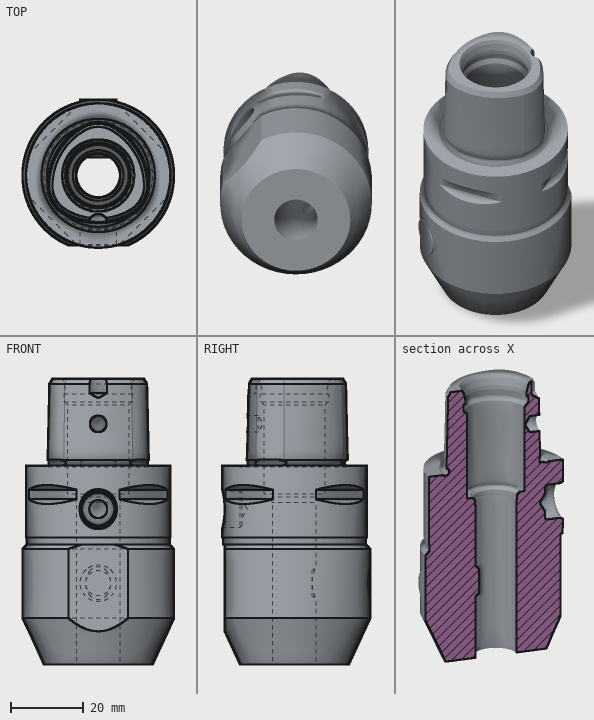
import cadquery as cq
import math


total_height = 79.0
nose_top = 12.9
flange_top = 31.9
flange_chamfer_top = 33.2
neck_top = 35.1
collar_top = 55.0
shank_base = 56.5
rim_chamfer_height = 1.5
rim_base = total_height - rim_chamfer_height

nose_end_radius = 15.0
flange_radius = 41.95 / 2
neck_radius = 39.6 / 2
collar_radius = 40.0 / 2
flat_distance = 19.3

lobe_center_distance = 5.8
lobe_radius = 9.0
side_radius = lobe_radius + lobe_center_distance * math.sqrt(3)
shank_inset = 0.5
rim_inset = 0.9
neck_inset = 0.2

groove_center_radius = 14.9
groove_center_height = 55.7
groove_radius = 1.0

drill_tip_angle = 118.0

notch_diameter = 5.0
notch_center_y = -13.1
notch_bottom = 75.05
dimple_diameter = 4.6
dimple_height = 66.5
dimple_floor_y = -10.0

slot_height = 47.0
slot_floor_width = 2.6
slot_floor_distance = 17.7
slot_flank_angle = 30.0

pocket_height = 43.0
pocket_diameter = 10.0
pocket_mouth_diameter = 11.05
pocket_mouth_depth = 0.95
pocket_floor_diameter = 9.0
pocket_floor_y = -14.5
pocket_corner = (pocket_diameter - pocket_floor_diameter) / 2
pocket_drill_diameter = 5.0

screw_diameter = 10.0
screw_height = 22.5
screw_tip_y = 4.9
screw_tip_diameter = 6.95
screw_tip_length = 1.6

tool_bore_diameter = 12.0
relief_bottom = 44.8
relief_diameter = 12.4
relief_top = 46.4
countersink_diameter = 14.0
socket_floor = 47.2
socket_diameter = 16.9
socket_top = 71.7
guide_diameter = 18.0
undercut_bottom = 72.5
undercut_diameter = 19.0
undercut_top = 74.7
guide_top = 76.0
entry_diameter = 19.0
entry_top = 78.05
mouth_diameter = 20.0


def lobed_outline(inset, height):
    """Closed three-lobed curve, moved inwards by the inset."""
    lobe = lobe_radius - inset
    side = side_radius - inset

    def center(angle):
        radians = math.radians(angle)
        return lobe_center_distance * math.cos(radians), lobe_center_distance * math.sin(radians)

    def point(origin, radius, angle):
        radians = math.radians(angle)
        return origin[0] + radius * math.cos(radians), origin[1] + radius * math.sin(radians)

    outline = cq.Workplane("XY", origin=(0, 0, height))
    outline = outline.moveTo(*point(center(90), lobe, 60))
    for lobe_angle in (90, 210, 330):
        here = center(lobe_angle)
        opposite = center(lobe_angle + 240)
        outline = outline.threePointArc(point(here, lobe, lobe_angle), point(here, lobe, lobe_angle + 30))
        outline = outline.threePointArc(
            point(opposite, side, lobe_angle + 60), point(opposite, side, lobe_angle + 90)
        )
    return outline.close()


def lobed_frustum(bottom_inset, bottom, top_inset, top):
    lower = lobed_outline(bottom_inset, bottom)
    upper = lobed_outline(top_inset, top)
    return cq.Workplane(cq.Solid.makeLoft([lower.val(), upper.val()], True))


def turned(profile):
    """Revolve (radius, height) points about the Z axis."""
    return cq.Workplane("XZ").polyline(profile).close().revolve(360, (0, 0), (0, 1))


def turned_along_y(profile, height):
    """Revolve (radius, Y) points about a line parallel to Y at the given height."""
    return (
        cq.Workplane("XY", origin=(0, 0, height))
        .polyline(profile)
        .close()
        .revolve(360, (0, 0), (0, 1))
    )


def make_body():
    body = turned([
        (0, 0),
        (nose_end_radius, 0),
        (flange_radius, nose_top),
        (flange_radius, flange_top),
        (neck_radius, flange_chamfer_top),
        (neck_radius, neck_top),
        (collar_radius, neck_top),
        (collar_radius, collar_top),
        (0, collar_top),
    ])
    beyond_flat = (
        cq.Workplane("XY")
        .box(2 * flange_radius, flange_radius, flange_chamfer_top, centered=(True, False, False))
        .translate((0, -flat_distance - flange_radius, 0))
    )
    return body.cut(beyond_flat)


def make_shank():
    foot = lobed_outline(neck_inset, collar_top).extrude(shank_base - collar_top)
    taper = lobed_frustum(0, shank_base, shank_inset, rim_base)
    rim = lobed_frustum(shank_inset, rim_base, shank_inset + rim_inset, total_height)
    return foot.union(taper).union(rim)


def foot_groove():
    return (
        cq.Workplane("XZ")
        .center(groove_center_radius, groove_center_height)
        .circle(groove_radius)
        .revolve(360, (-groove_center_radius, 0), (-groove_center_radius, 1))
    )


def drive_notch():
    radius = notch_diameter / 2
    tip_depth = radius / math.tan(math.radians(drill_tip_angle / 2))
    notch = turned([
        (0, notch_bottom - tip_depth),
        (radius, notch_bottom),
        (radius, total_height),
        (0, total_height),
    ])
    return notch.translate((0, notch_center_y, 0))


def dimple():
    radius = dimple_diameter / 2
    tip_depth = radius / math.tan(math.radians(drill_tip_angle / 2))
    return turned_along_y(
        [
            (0, dimple_floor_y + tip_depth),
            (radius, dimple_floor_y),
            (radius, -collar_radius),
            (0, -collar_radius),
        ],
        dimple_height,
    )


def gripper_slots():
    depth = collar_radius - slot_floor_distance
    floor_half = slot_floor_width / 2
    mouth_half = floor_half + depth * math.tan(math.radians(slot_flank_angle))
    slot = (
        cq.Workplane("XZ", origin=(0, collar_radius, slot_height))
        .polyline([
            (slot_floor_distance, -floor_half),
            (collar_radius, -mouth_half),
            (collar_radius, mouth_half),
            (slot_floor_distance, floor_half),
        ])
        .close()
        .extrude(2 * collar_radius)
    )
    slots = cq.Workplane("XY")
    for angle in (45, 135, 225, 315):
        slots = slots.add(slot.rotate((0, 0, 0), (0, 0, 1), angle))
    return slots.combine()


def collar_pocket():
    mouth_base_y = -collar_radius + pocket_mouth_depth
    drill_radius = pocket_drill_diameter / 2
    tip_depth = drill_radius / math.tan(math.radians(drill_tip_angle / 2))
    return turned_along_y(
        [
            (0, pocket_floor_y + tip_depth),
            (drill_radius, pocket_floor_y),
            (pocket_floor_diameter / 2, pocket_floor_y),
            (pocket_diameter / 2, pocket_floor_y - pocket_corner),
            (pocket_diameter / 2, mouth_base_y),
            (pocket_mouth_diameter / 2, -collar_radius),
            (0, -collar_radius),
        ],
        pocket_height,
    )


def central_bore():
    stepped_bore = turned([
        (0, 0),
        (tool_bore_diameter / 2, 0),
        (tool_bore_diameter / 2, relief_bottom),
        (relief_diameter / 2, relief_bottom),
        (relief_diameter / 2, relief_top),
        (countersink_diameter / 2, socket_floor),
        (socket_diameter / 2, socket_floor),
        (socket_diameter / 2, socket_top),
        (guide_diameter / 2, undercut_bottom),
        (guide_diameter / 2, guide_top),
        (entry_diameter / 2, entry_top),
        (mouth_diameter / 2, total_height),
        (0, total_height),
    ])
    return stepped_bore.union(bore_undercut())


def bore_undercut():
    """Ring widening the guide bore, with its lower outer corner rounded."""
    inner = guide_diameter / 2
    outer = undercut_diameter / 2
    round_radius = outer - inner
    round_center_height = undercut_bottom + round_radius
    half_way = round_radius * math.sqrt(0.5)
    return (
        cq.Workplane("XZ")
        .moveTo(0, undercut_bottom)
        .lineTo(inner, undercut_bottom)
        .threePointArc((inner + half_way, round_center_height - half_way), (outer, round_center_height))
        .lineTo(outer, undercut_top)
        .lineTo(0, undercut_top)
        .close()
        .revolve(360, (0, 0), (0, 1))
    )


def clamping_screw():
    return turned_along_y(
        [
            (0, screw_tip_y),
            (screw_tip_diameter / 2, screw_tip_y),
            (screw_diameter / 2, screw_tip_y + screw_tip_length),
            (screw_diameter / 2, flange_radius),
            (0, flange_radius),
        ],
        screw_height,
    )


result = (
    make_body()
    .union(make_shank())
    .cut(foot_groove())
    .cut(central_bore())
    .cut(drive_notch())
    .cut(dimple())
    .cut(gripper_slots())
    .cut(collar_pocket())
    .union(clamping_screw())
)